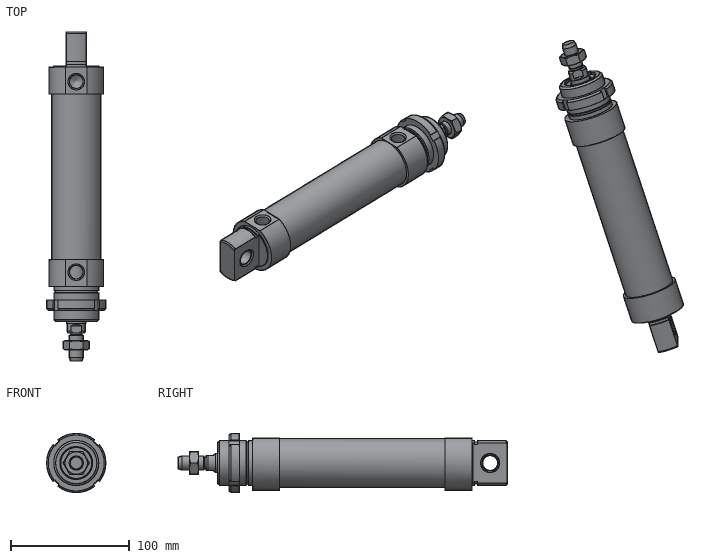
import cadquery as cq
import math


total_length = 277.5

rod_diameter = 16.0
rod_front_diameter = 15.5
rod_thread_diameter = 12.0
rod_relief_diameter = 10.0
rod_tip_diameter = 10.0
rod_tip_chamfer_length = 3.0
rod_thread_chamfer = 0.8
rod_thread_end_y = 22.2
rod_shoulder_y = 23.5
rod_shoulder_chamfer_length = 1.7
rod_shoulder_chamfer_height = 0.8
rod_step_y = 31.5
rod_flats_width = 13.0
rod_flats_end_y = 29.7

rod_nut_front_y = 9.5
rod_nut_length = 7.8
rod_nut_across_flats = 19.1
rod_nut_face_diameter = 19.0
rod_nut_chamfer_angle = 30.0

mount_nut_front_y = 42.7
mount_nut_length = 9.0
mount_nut_diameter = 50.0
mount_nut_chamfer_length = 1.7
mount_nut_chamfer_height = 1.5
mount_nut_slot_count = 4
mount_nut_slot_width = 5.5
mount_nut_slot_depth = 1.7

neck_front_y = 33.3
neck_diameter = 38.0
neck_chamfer = 1.7
neck_thread_chamfer = 0.8
neck_relief_start_y = 58.0
neck_relief_end_y = 59.5
relief_diameter = 35.8
wiper_recess_diameter = 26.0
wiper_recess_depth = 1.7
wiper_recess_chamfer = 0.8
rod_hole_mouth_diameter = 18.0

collar_diameter = 46.0
collar_length = 22.8
front_collar_y = 62.7
rear_collar_end_y = 247.8
rod_inner_end_y = front_collar_y + collar_length
tube_diameter = 41.5
collar_flat_height = 21.0

port_diameter = 11.5
port_mouth_diameter = 14.0
port_offset = 0.8
port_depth = 10.0
drill_point_angle = 118.0

eye_flange_length = 0.8
eye_thickness = 17.2
eye_relief_start_y = 250.0
eye_relief_end_y = 252.5
eye_end_chamfer = 1.0
eye_hole_y = 263.0
eye_hole_diameter = 12.5
eye_hole_mouth_diameter = 16.0
eye_hole_seat_diameter = 14.0


def revolve_profile(points):
    """Solid of revolution about Y from (radius, y) points; the profile is closed on the axis."""
    first_y = points[0][1]
    last_y = points[-1][1]
    outline = [(0, first_y), *points, (0, last_y)]
    return cq.Workplane("XY").polyline(outline).close().revolve(360, (0, 0, 0), (0, 1, 0))


def cylinder(diameter, start_y, end_y):
    """Plain cylinder on the Y axis."""
    return revolve_profile([(diameter / 2, start_y), (diameter / 2, end_y)])


def make_rod():
    radius = rod_diameter / 2
    front_radius = rod_front_diameter / 2
    thread_radius = rod_thread_diameter / 2
    relief_radius = rod_relief_diameter / 2
    rod = revolve_profile([
        (rod_tip_diameter / 2, 0),
        (thread_radius, rod_tip_chamfer_length),
        (thread_radius, rod_thread_end_y - rod_thread_chamfer),
        (relief_radius, rod_thread_end_y),
        (relief_radius, rod_shoulder_y),
        (front_radius - rod_shoulder_chamfer_height, rod_shoulder_y),
        (front_radius, rod_shoulder_y + rod_shoulder_chamfer_length),
        (front_radius, rod_step_y),
        (radius, rod_step_y),
        (radius, rod_inner_end_y),
    ])
    flat_z = rod_flats_width / 2
    flat_waste = (
        cq.Workplane("YZ")
        .polyline([
            (rod_shoulder_y, flat_z),
            (rod_flats_end_y, flat_z),
            (rod_flats_end_y + radius - flat_z, radius),
            (rod_shoulder_y, radius),
        ])
        .close()
        .extrude(radius, both=True)
    )
    return rod.cut(flat_waste).cut(flat_waste.mirror("XY"))


def make_rod_nut():
    corner_diameter = rod_nut_across_flats / math.cos(math.pi / 6)
    nut_end_y = rod_nut_front_y + rod_nut_length
    hexagon = (
        cq.Workplane("XZ", origin=(0, nut_end_y, 0)).polygon(6, corner_diameter).extrude(rod_nut_length)
    )
    face_radius = rod_nut_face_diameter / 2
    corner_radius = corner_diameter / 2
    chamfer_length = (corner_radius - face_radius) * math.tan(math.radians(rod_nut_chamfer_angle))
    envelope = revolve_profile([
        (face_radius, rod_nut_front_y),
        (corner_radius, rod_nut_front_y + chamfer_length),
        (corner_radius, nut_end_y - chamfer_length),
        (face_radius, nut_end_y),
    ])
    bore = cylinder(rod_thread_diameter, rod_nut_front_y, nut_end_y)
    return hexagon.intersect(envelope).cut(bore)


def make_mounting_nut():
    radius = mount_nut_diameter / 2
    end_y = mount_nut_front_y + mount_nut_length
    nut = revolve_profile([
        (radius - mount_nut_chamfer_height, mount_nut_front_y),
        (radius, mount_nut_front_y + mount_nut_chamfer_length),
        (radius, end_y),
    ])
    nut = nut.cut(cylinder(neck_diameter, mount_nut_front_y, end_y))
    slot_floor = radius - mount_nut_slot_depth
    slot = cq.Workplane("XY").box(
        2 * mount_nut_slot_depth, mount_nut_length, mount_nut_slot_width
    ).translate((slot_floor + mount_nut_slot_depth, mount_nut_front_y + mount_nut_length / 2, 0))
    step_angle = 360 / mount_nut_slot_count
    for index in range(mount_nut_slot_count):
        nut = nut.cut(slot.rotate((0, 0, 0), (0, 1, 0), (index + 0.5) * step_angle))
    return nut


def make_collar(start_y):
    """Round end collar with a flat on top for its air port."""
    radius = collar_diameter / 2
    collar = cylinder(collar_diameter, start_y, start_y + collar_length)
    above_flat = cq.Workplane("XY").box(
        collar_diameter, collar_length, radius, centered=(True, False, False)
    ).translate((0, start_y, collar_flat_height))
    return collar.cut(above_flat)


def make_port(port_y, floor_z, point_length):
    """Countersunk port from the collar flat down to floor_z, with a drill point below."""
    port_radius = port_diameter / 2
    mouth_radius = port_mouth_diameter / 2
    outline = [
        (0, floor_z - point_length),
        (port_radius, floor_z),
        (port_radius, collar_flat_height - (mouth_radius - port_radius)),
        (mouth_radius, collar_flat_height),
        (0, collar_flat_height),
    ]
    port = cq.Workplane("XZ").polyline(outline).close().revolve(360, (0, 0, 0), (0, 1, 0))
    return port.translate((0, port_y, 0))


def make_eye():
    """Rear eye: a round stub with two flat sides, a relief groove and a cross hole along X."""
    radius = neck_diameter / 2
    stub = revolve_profile([
        (radius, rear_collar_end_y),
        (radius, eye_relief_start_y),
        (relief_diameter / 2, eye_relief_start_y),
        (relief_diameter / 2, eye_relief_end_y),
        (radius, eye_relief_end_y),
        (radius, total_length - eye_end_chamfer),
        (radius - eye_end_chamfer, total_length),
    ])
    flange_end_y = rear_collar_end_y + eye_flange_length
    tongue_length = total_length - rear_collar_end_y
    tongue = cq.Workplane("XY").box(
        eye_thickness, tongue_length, neck_diameter, centered=(True, False, True)
    ).translate((0, rear_collar_end_y, 0))
    flange = cylinder(neck_diameter, rear_collar_end_y, flange_end_y)
    eye = stub.intersect(tongue).union(flange)

    half = eye_thickness / 2
    hole_radius = eye_hole_diameter / 2
    mouth_radius = eye_hole_mouth_diameter / 2
    seat_radius = eye_hole_seat_diameter / 2
    mouth_depth = mouth_radius - seat_radius
    hole_outline = [
        (-half, 0),
        (-half, mouth_radius),
        (mouth_depth - half, seat_radius),
        (mouth_depth - half, hole_radius),
        (half - mouth_depth, hole_radius),
        (half - mouth_depth, seat_radius),
        (half, mouth_radius),
        (half, 0),
    ]
    hole = cq.Workplane("XY").polyline(hole_outline).close().revolve(360, (0, 0, 0), (1, 0, 0))
    return eye.cut(hole.translate((0, eye_hole_y, 0)))


def make_neck():
    radius = neck_diameter / 2
    return revolve_profile([
        (radius - neck_chamfer, neck_front_y),
        (radius, neck_front_y + neck_chamfer),
        (radius, neck_relief_start_y - neck_thread_chamfer),
        (radius - neck_thread_chamfer, neck_relief_start_y),
        (relief_diameter / 2, neck_relief_start_y),
        (relief_diameter / 2, neck_relief_end_y),
        (radius, neck_relief_end_y),
        (radius, front_collar_y),
    ])


def make_rod_hole(end_y):
    """Wiper recess in the neck face, then the countersunk hole that the rod fills."""
    recess_radius = wiper_recess_diameter / 2
    mouth_radius = rod_hole_mouth_diameter / 2
    rod_radius = rod_diameter / 2
    recess_floor_y = neck_front_y + wiper_recess_depth
    return revolve_profile([
        (recess_radius + wiper_recess_chamfer, neck_front_y),
        (recess_radius, neck_front_y + wiper_recess_chamfer),
        (recess_radius, recess_floor_y),
        (mouth_radius, recess_floor_y),
        (rod_radius, recess_floor_y + mouth_radius - rod_radius),
        (rod_radius, end_y),
    ])


def make_housing():
    rear_collar_y = rear_collar_end_y - collar_length
    housing = cylinder(tube_diameter, front_collar_y, rear_collar_end_y)
    housing = housing.union(make_neck())
    housing = housing.union(make_collar(front_collar_y))
    housing = housing.union(make_collar(rear_collar_y))
    housing = housing.union(make_eye())
    housing = housing.cut(make_rod_hole(rod_inner_end_y))
    front_port_y = front_collar_y + collar_length / 2 + port_offset
    rear_port_y = rear_collar_y + collar_length / 2 - port_offset
    point_length = port_diameter / 2 / math.tan(math.radians(drill_point_angle / 2))
    rod_space = cylinder(rod_diameter, front_collar_y, rod_inner_end_y)
    front_port = make_port(front_port_y, 0, 0).cut(rod_space)
    rear_port = make_port(rear_port_y, collar_flat_height - port_depth, point_length)
    return housing.cut(front_port).cut(rear_port)


rod = make_rod()
rod_nut = make_rod_nut()
mounting_nut = make_mounting_nut()
housing = make_housing()

result = cq.Compound.makeCompound([
    housing.solids().val(),
    mounting_nut.solids().val(),
    rod.solids().val(),
    rod_nut.solids().val(),
])